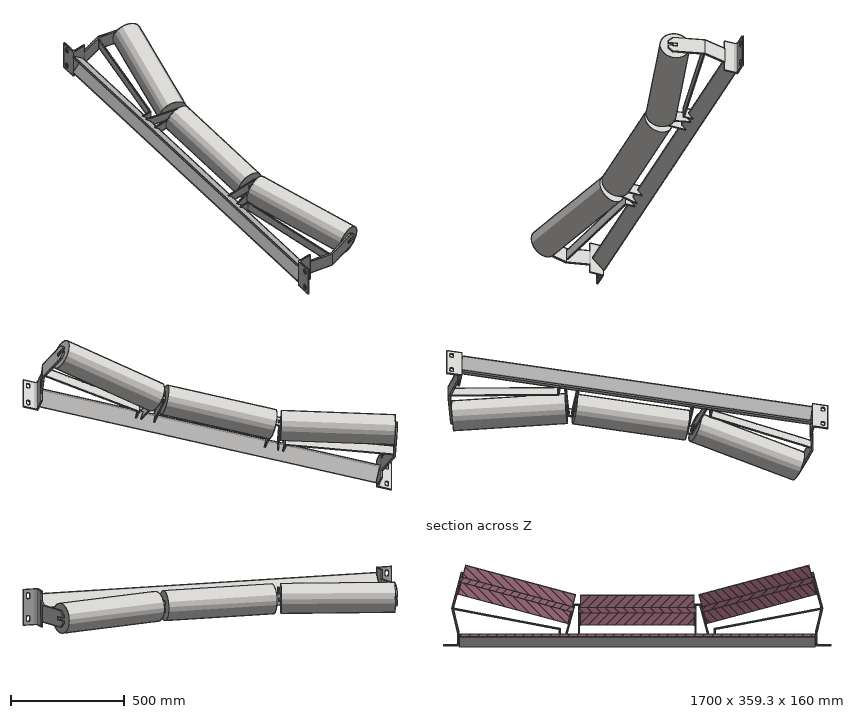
import cadquery as cq
import math

overall_length = 1700.0
trough_angle = 15.0

roller_diameter = 133.0
roller_length = 500.0
shaft_diameter = 20.0
shaft_flat_width = 14.0
end_gap = 2.5
middle_axis_y = 162.0
wing_centre_x = 529.0
wing_centre_y = 230.4

beam_leg = 80.0
beam_thickness = 8.0
beam_root_radius = 12.0
beam_toe_radius = 3.0
beam_end_gap = 2.0
beam_ridge_radius = 7.0

strip_thickness = 6.0
strip_width = 50.0
bracket_top_y = 189.0
brace_head_y = 172.0
brace_foot_x = 337.0
brace_bend_y = 82.0

foot_height = 160.0
foot_width = 68.0
foot_front_y = 4.2
foot_top_y = 68.0
foot_thickness = 6.0
foot_root_radius = 8.0
arm_thickness = 8.0
arm_width = 75.0
arm_crank_y = 170.0
arm_top_y = 326.0
arm_chamfer = 20.0
bolt_slot_width = 16.0
bolt_slot_length = 27.0
bolt_slot_inset = 22.0
bolt_slot_z = 51.0

tilt = math.radians(trough_angle)
toe_setback = beam_toe_radius * (math.sqrt(2) - 1)
beam_ridge_y = (beam_leg + beam_thickness) / math.sqrt(2) - toe_setback
web_inner_x = overall_length / 2 - foot_width
beam_half_length = web_inner_x - beam_end_gap
strip_foot_y = beam_ridge_y - strip_width / 2
support_offset = roller_length / 2 + end_gap
shaft_length = 2 * (support_offset + strip_thickness)


def wing_support_x(offset, y):
    """X at height y of the line square to the left wing axis, offset outward from the roller centre."""
    return -wing_centre_x - offset / math.cos(tilt) + (y - wing_centre_y) * math.tan(tilt)


def bent_strip(path, thickness, width):
    """Flat strip whose one face follows path in XY, thickened to the left of the path."""
    headings = [math.atan2(b[1] - a[1], b[0] - a[0]) for a, b in zip(path, path[1:])]
    offset_face = []
    for index, (x, y) in enumerate(path):
        before = headings[max(index - 1, 0)]
        after = headings[min(index, len(headings) - 1)]
        normal = (before + after) / 2 + math.pi / 2
        reach = thickness / math.cos((after - before) / 2)
        offset_face.append((x + reach * math.cos(normal), y + reach * math.sin(normal)))
    outline = path + offset_face[::-1]
    return cq.Workplane("XY").polyline(outline).close().extrude(width / 2, both=True)


def mirror_x(body):
    return body.mirror("YZ")


def on_left_wing(body):
    """Move a body built about the origin along X onto the left wing roller axis."""
    return body.rotate((0, 0, 0), (0, 0, 1), -trough_angle).translate((-wing_centre_x, wing_centre_y, 0))


def on_middle(body):
    return body.translate((0, middle_axis_y, 0))


def make_roller():
    return (cq.Workplane("YZ", origin=(-roller_length / 2, 0, 0))
            .circle(roller_diameter / 2)
            .circle(shaft_diameter / 2)
            .extrude(roller_length))


def make_shaft():
    """Round shaft with two flats at each end, where it drops into the support slots."""
    shaft = (cq.Workplane("YZ", origin=(-shaft_length / 2, 0, 0))
             .circle(shaft_diameter / 2)
             .extrude(shaft_length))
    flat_length = shaft_length / 2 - roller_length / 2
    for end in (-1, 1):
        flat_centre = end * (roller_length / 2 + flat_length / 2)
        end_block = cq.Workplane("XY").box(flat_length, shaft_diameter, shaft_diameter)
        tongue = cq.Workplane("XY").box(flat_length, shaft_diameter, shaft_flat_width)
        shaft = shaft.cut(end_block.cut(tongue).translate((flat_centre, 0, 0)))
    return shaft


def shaft_slot(end, thickness, length):
    """Slot for a shaft end, open upward, about a roller axis through the origin along X."""
    depth = thickness + 2 * end_gap
    centre_x = end * (support_offset + thickness / 2)
    return (cq.Workplane("XY").box(depth, length, shaft_flat_width)
            .translate((centre_x, length / 2 - shaft_diameter / 2, 0)))


def corner_bar(side):
    """Square bar along the beam, with one edge on the X axis and the rest at +Y and +Z."""
    return (cq.Workplane("YZ", origin=(-beam_half_length, 0, 0))
            .rect(side, side, centered=False)
            .extrude(2 * beam_half_length))


def make_ridge_block():
    """Solid bar with the outer shape of the beam; also notches the strips that sit on the beam."""
    return corner_bar(beam_leg).edges("|X and >Y and >Z").fillet(beam_ridge_radius)


def place_ridge(body):
    """Turn a corner block so that its outer corner becomes the beam ridge, at z = 0."""
    return (body.translate((0, -beam_leg, -beam_leg))
            .rotate((0, 0, 0), (1, 0, 0), -45)
            .translate((0, beam_ridge_y, 0)))


def make_beam():
    hollow = (corner_bar(beam_leg - beam_thickness)
              .edges("|X and >Y and >Z").fillet(beam_root_radius))
    angle = make_ridge_block().cut(hollow)
    for toe_point in ((0, beam_leg - beam_thickness, 0), (0, 0, beam_leg - beam_thickness)):
        angle = angle.edges("|X").edges(cq.NearestToPointSelector(toe_point)).fillet(beam_toe_radius)
    return place_ridge(angle)


def make_left_centre_bracket():
    """Inverted U: a leg square to the wing roller and a post square to the middle roller."""
    inner_leg_foot = (wing_support_x(-support_offset, strip_foot_y), strip_foot_y)
    inner_leg_top = (wing_support_x(-support_offset, bracket_top_y), bracket_top_y)
    post_top = (-support_offset, bracket_top_y)
    post_foot = (-support_offset, strip_foot_y)
    path = [post_foot, post_top, inner_leg_top, inner_leg_foot]
    bracket = bent_strip(path, strip_thickness, strip_width)
    slot_length = 2 * (bracket_top_y - middle_axis_y)
    bracket = bracket.cut(on_middle(shaft_slot(-1, strip_thickness, slot_length)))
    return bracket.cut(on_left_wing(shaft_slot(1, strip_thickness, slot_length)))


def make_left_brace():
    """Strip from the beam up to the crank of the arm, trimmed to butt against the arm."""
    head = (wing_support_x(support_offset + arm_thickness / 2, brace_head_y), brace_head_y)
    path = [head, (-brace_foot_x, brace_bend_y), (-brace_foot_x, strip_foot_y)]
    return bent_strip(path[::-1], strip_thickness, strip_width).cut(make_left_arm())


def make_frame():
    """Beam with the two centre brackets and the two braces welded to it."""
    frame = make_beam()
    ridge_block = place_ridge(make_ridge_block())
    for strip in (make_left_centre_bracket(), make_left_brace()):
        seated = strip.cut(ridge_block)
        frame = frame.union(seated).union(mirror_x(seated))
    return frame


def make_left_foot():
    free_edge = -overall_length / 2
    web_face = -web_inner_x
    flange_back = foot_front_y + foot_thickness
    outline = [
        (free_edge, foot_front_y),
        (web_face, foot_front_y),
        (web_face, foot_top_y),
        (web_face - foot_thickness, foot_top_y),
        (web_face - foot_thickness, flange_back),
        (free_edge, flange_back),
    ]
    foot = cq.Workplane("XY").polyline(outline).close().extrude(foot_height / 2, both=True)
    root = cq.NearestToPointSelector((web_face - foot_thickness, flange_back, 0))
    foot = foot.edges("|Z").edges(root).fillet(foot_root_radius)
    bolt_slots = (cq.Workplane("XZ", origin=(free_edge + bolt_slot_inset, foot_front_y, 0))
                  .pushPoints([(0, -bolt_slot_z), (0, bolt_slot_z)])
                  .slot2D(bolt_slot_length, bolt_slot_width, 90)
                  .extrude(-foot_thickness))
    return foot.cut(bolt_slots)


def make_left_arm():
    path = [
        (-web_inner_x, foot_top_y),
        (wing_support_x(support_offset, arm_crank_y), arm_crank_y),
        (wing_support_x(support_offset, arm_top_y), arm_top_y),
    ]
    arm = bent_strip(path, arm_thickness, arm_width)
    tip_edges = arm.faces(">Y").edges("not |Z").edges("<Z or >Z")
    arm = tip_edges.chamfer(arm_chamfer)
    slot_length = 2 * (arm_top_y - wing_centre_y)
    return arm.cut(on_left_wing(shaft_slot(-1, arm_thickness, slot_length)))


def make_left_end_bracket():
    return make_left_foot().union(make_left_arm())


frame = make_frame()
left_end_bracket = make_left_end_bracket()
end_brackets = [left_end_bracket, mirror_x(left_end_bracket)]

rollers = []
shafts = []
for make_body, bodies in ((make_roller, rollers), (make_shaft, shafts)):
    wing = on_left_wing(make_body())
    bodies.extend([wing, on_middle(make_body()), mirror_x(wing)])

result = cq.Compound.makeCompound(
    [body.val() for body in [frame, *end_brackets, *rollers, *shafts]]
)